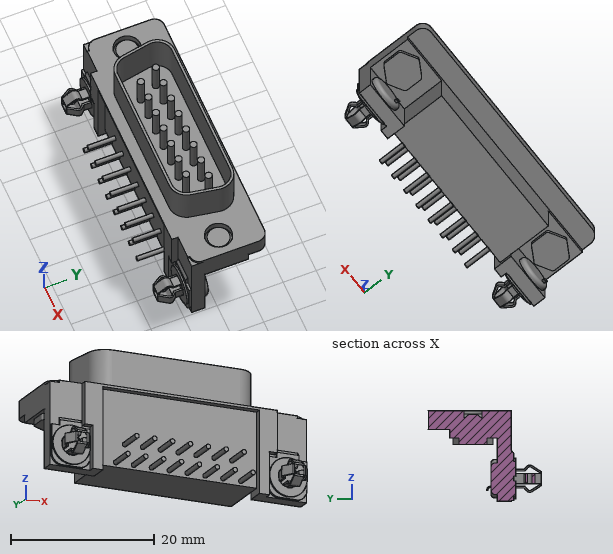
import cadquery as cq
import math


width = 39.37
height = 18.6
prong_reach = 3.23
tail_length = 3.15

flange_top = 12.68
flange_thickness = 2.64
flange_back = 6.27
flange_corner_radius = 1.5
plate_thickness = 0.36
plate_front = -5.05
plate_corner_radius = 1.4
front_face = -6.31
ear_face = -5.35
panel_face = -5.3
leg_back = -3.35
leg_step_z = 8.85
body_back = 3.28
body_bottom = 1.07

panel_half_width = 12.03
pillar_half_width = 13.55
rib_half_width = 14.76
notch_top = 6.4

shell_half_width = 13.11
shell_half_depth = 4.63
shell_corner_radius = 2.6
shell_wall = 0.4
shell_slope = math.radians(10)

pitch = 2.743
row_spacing = 2.84
upper_row_count = 8
lower_row_count = 7
mating_pin_diameter = 1.02
mating_pin_top = 17.2
tail_diameter = 0.68
outer_tail_z = 1.755
inner_tail_z = outer_tail_z + row_spacing

mount_x = 16.64
hole_diameter = 3.93
stud_tip_diameter = 3.2
stud_tip_depth = 0.47
stud_taper_height = 0.6
nut_across_flats = 5.0
nut_height = 0.93
nut_corner_radius = 0.5

lock_z = 3.18
bracket_width = 5.88
bracket_bottom = 0.1
bracket_top = 5.92
bracket_thickness = 0.36
bracket_corner_radius = 1.6
tab_width = 3.36
tab_top = 7.15
tab_bevel_drop = 0.45
washer_radius = 2.87
washer_thickness = 0.27
washer_hole_radius = 1.55
rivet_radius = 2.7
rivet_thickness = 0.86
rivet_fillet = 0.55
hook_outer_radius = 0.6
hook_inner_radius = 0.4
hook_width = 0.5
hook_embed = 0.15
hook_offset_x = 1.5
hook_z = 1.55
prong_width = 1.47
prong_thickness = 0.28
prong_root_radius = 1.33
prong_bulge_radius = 2.08
prong_tip_radius = 0.98
bulge_wall_ratio = 1.2
prong_bend_y = -7.1
prong_bulge_y = -7.85
prong_bulge_fillet = 0.6

tail_tip = front_face - tail_length
prong_tip = front_face - prong_reach
plate_bottom = flange_top - plate_thickness
bracket_face = ear_face - bracket_thickness
washer_face = bracket_face - washer_thickness


def block(x_range, y_range, z_range):
    """Axis-aligned box between the given limits."""
    size = [high - low for low, high in (x_range, y_range, z_range)]
    corner = (x_range[0], y_range[0], z_range[0])
    return cq.Workplane("XY").box(*size, centered=False).translate(corner)


def centred_block(half_width, y_range, z_range):
    """Box that is symmetric about X = 0."""
    return block((-half_width, half_width), y_range, z_range)


def disc(radius, start_y, end_y, x=mount_x, z=lock_z):
    """Cylinder whose axis runs along Y, from start_y down to end_y."""
    plane = cq.Workplane("XZ", origin=(x, start_y, z))
    return plane.circle(radius).extrude(start_y - end_y)


def both_ends(shape):
    """The shape together with a copy moved to the other mounting position."""
    return shape.union(shape.translate((-2 * mount_x, 0, 0)))


def make_housing():
    half = width / 2
    flange_bottom = flange_top - flange_thickness
    flange = centred_block(half, (ear_face, flange_back), (flange_bottom, flange_top))
    flange = flange.edges("|Z and >Y").fillet(flange_corner_radius)
    ears = centred_block(half, (ear_face, body_back), (leg_step_z, flange_bottom))
    legs = centred_block(half, (ear_face, leg_back), (0, leg_step_z))
    ribs = centred_block(rib_half_width, (front_face, ear_face), (notch_top, flange_top))
    pillars = centred_block(pillar_half_width, (front_face, ear_face), (0, notch_top))
    body = centred_block(panel_half_width, (leg_back, body_back), (body_bottom, leg_step_z))
    housing = flange.union(ears).union(legs).union(ribs).union(pillars).union(body)

    recess = centred_block(panel_half_width, (front_face, panel_face), (0, plate_bottom))
    under_body = centred_block(panel_half_width, (front_face, leg_back), (0, body_bottom))
    return housing.cut(recess).cut(under_body)


def make_corner_notches():
    """Steps left where the rounded flange plate stops short of the ear corners."""
    half = width / 2
    inner = half - plate_corner_radius
    corner_y = plate_front + plate_corner_radius
    notch = block((inner, half), (ear_face, corner_y), (plate_bottom, flange_top))
    plate_corner = (
        cq.Workplane("XY", origin=(inner, corner_y, plate_bottom))
        .circle(plate_corner_radius)
        .extrude(plate_thickness)
    )
    notch = notch.cut(plate_corner)
    return notch.union(notch.mirror("YZ"))


def make_d_prism(inset, bottom, top):
    """D-shaped prism, inset evenly from the outside of the shell."""
    radius = shell_corner_radius
    arc_y = shell_half_depth - radius
    upper_x = shell_half_width - radius
    lower_x = upper_x - 2 * arc_y * math.tan(shell_slope)
    side_x = math.cos(shell_slope)
    side_y = -math.sin(shell_slope)
    arc_radius = radius - inset

    def on_arc(centre_x, centre_y, direction_x, direction_y):
        length = math.hypot(direction_x, direction_y)
        return (
            centre_x + arc_radius * direction_x / length,
            centre_y + arc_radius * direction_y / length,
        )

    upper_start = on_arc(upper_x, arc_y, 0, 1)
    upper_middle = on_arc(upper_x, arc_y, side_x, side_y + 1)
    upper_end = on_arc(upper_x, arc_y, side_x, side_y)
    lower_start = on_arc(lower_x, -arc_y, side_x, side_y)
    lower_middle = on_arc(lower_x, -arc_y, side_x, side_y - 1)
    lower_end = on_arc(lower_x, -arc_y, 0, -1)
    half = (
        cq.Workplane("XY", origin=(0, 0, bottom))
        .moveTo(0, upper_start[1])
        .lineTo(*upper_start)
        .threePointArc(upper_middle, upper_end)
        .lineTo(*lower_start)
        .threePointArc(lower_middle, lower_end)
        .lineTo(0, lower_end[1])
    )
    return half.mirrorY().extrude(top - bottom)


def make_contacts():
    """List of the mating pins inside the shell and the solder tails they lead to."""
    rows = (
        (upper_row_count, row_spacing / 2, outer_tail_z),
        (lower_row_count, -row_spacing / 2, inner_tail_z),
    )
    contacts = []
    for count, mating_y, tail_z in rows:
        for index in range(count):
            x = (index - (count - 1) / 2) * pitch
            pin = (
                cq.Workplane("XY", origin=(x, mating_y, plate_bottom))
                .circle(mating_pin_diameter / 2)
                .extrude(mating_pin_top - plate_bottom)
            )
            tail = disc(tail_diameter / 2, panel_face, tail_tip, x, tail_z)
            contacts.extend((pin, tail))
    return contacts


def make_mounting_hole():
    """Space above and around the tapered stud end that sits sunk in the mounting hole."""
    depth = stud_tip_depth + stud_taper_height
    plane = cq.Workplane("XY", origin=(mount_x, 0, flange_top - depth))
    bore = plane.circle(hole_diameter / 2).extrude(depth)
    stud_end = (
        plane.circle(hole_diameter / 2)
        .workplane(offset=stud_taper_height)
        .circle(stud_tip_diameter / 2)
        .loft()
    )
    return bore.cut(stud_end)


def make_nut():
    """Hexagonal nut under the ear, with flats facing along X."""
    across_corners = nut_across_flats / math.cos(math.pi / 6)
    return (
        cq.Workplane("XY", origin=(mount_x, 0, leg_step_z - nut_height))
        .transformed(rotate=(0, 0, 90))
        .polygon(6, across_corners)
        .extrude(nut_height)
        .edges("|Z")
        .fillet(nut_corner_radius)
    )


def make_prong():
    """Springy prong on the +X side of the lock, bulging before its tip."""
    wall = prong_thickness
    inner_bulge_radius = prong_bulge_radius - bulge_wall_ratio * wall
    outline = [
        (prong_root_radius, bracket_face),
        (prong_root_radius, prong_bend_y),
        (prong_bulge_radius, prong_bulge_y),
        (prong_tip_radius, prong_tip),
        (prong_tip_radius - wall, prong_tip),
        (inner_bulge_radius, prong_bulge_y),
        (prong_root_radius - wall, prong_bend_y - wall / 2),
        (prong_root_radius - wall, bracket_face),
    ]
    prong = cq.Workplane("XY").polyline(outline).close().extrude(prong_width / 2, both=True)
    outer_edge = cq.selectors.NearestToPointSelector((prong_bulge_radius, prong_bulge_y, 0))
    prong = prong.edges("|Z").edges(outer_edge).fillet(prong_bulge_fillet)
    inner_edge = cq.selectors.NearestToPointSelector((inner_bulge_radius, prong_bulge_y, 0))
    prong = prong.edges("|Z").edges(inner_edge).fillet(prong_bulge_fillet - wall)
    return prong.translate((mount_x, 0, lock_z))


def make_board_lock():
    bracket_x = (mount_x - bracket_width / 2, mount_x + bracket_width / 2)
    depth = (bracket_face, ear_face)
    bracket = block(bracket_x, depth, (bracket_bottom, bracket_top))
    bracket = bracket.edges("|Y and <Z").fillet(bracket_corner_radius)
    tab_outline = [
        (ear_face, lock_z),
        (ear_face, tab_top),
        (bracket_face, tab_top - tab_bevel_drop),
        (bracket_face, lock_z),
    ]
    tab = (
        cq.Workplane("YZ", origin=(mount_x, 0, 0))
        .polyline(tab_outline)
        .close()
        .extrude(tab_width / 2, both=True)
    )
    washer = disc(washer_radius, bracket_face, washer_face)
    washer = washer.cut(disc(washer_hole_radius, bracket_face, washer_face))
    lock = bracket.union(tab).union(washer)

    prong = make_prong()
    axis_start = (mount_x, 0, lock_z)
    axis_end = (mount_x, 1, lock_z)
    for quarter in range(4):
        lock = lock.union(prong.rotate(axis_start, axis_end, 90 * quarter))
    return lock.union(make_rivet_head())


def make_rivet_head():
    """Rounded head behind the leg, with a small curled lip on its face."""
    head_face = leg_back + rivet_thickness
    head = disc(rivet_radius, head_face, leg_back)
    head = head.edges(">Y").fillet(rivet_fillet)
    outer = hook_outer_radius
    inner = hook_inner_radius
    diagonal = math.sqrt(0.5)
    foot_y = -hook_embed
    hook = (
        cq.Workplane("YZ", origin=(mount_x - hook_offset_x, head_face, hook_z))
        .moveTo(outer, 0)
        .threePointArc((outer * diagonal, outer * diagonal), (0, outer))
        .lineTo(foot_y, outer)
        .lineTo(foot_y, inner)
        .lineTo(0, inner)
        .threePointArc((inner * diagonal, inner * diagonal), (inner, 0))
        .close()
        .extrude(hook_width / 2, both=True)
    )
    return head.union(hook)


result = make_housing().cut(make_corner_notches()).cut(both_ends(make_mounting_hole()))
result = result.union(make_d_prism(0, plate_bottom, height))
result = result.cut(make_d_prism(shell_wall, plate_bottom, height))
result = result.union(both_ends(make_nut())).union(both_ends(make_board_lock()))
for contact in make_contacts():
    result = result.union(contact)